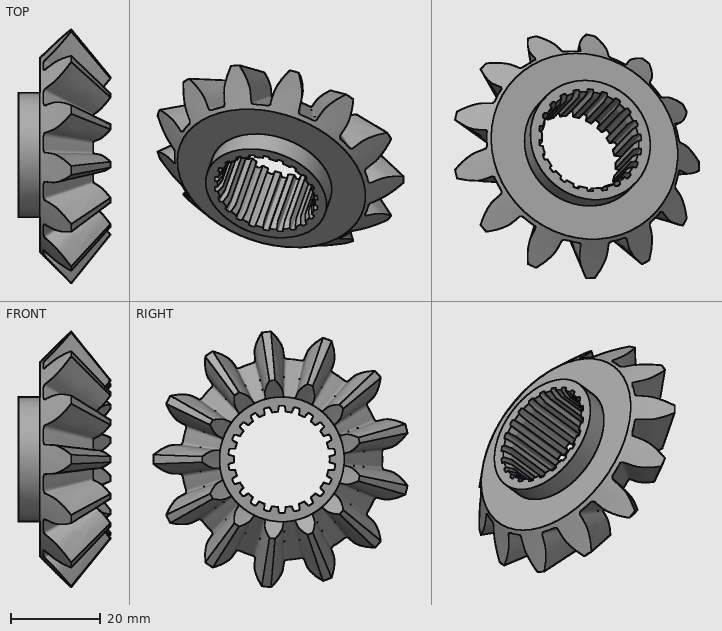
import cadquery as cq
import math

MODULE = 4.0
TEETH = 13
PITCH_CONE_ANGLE = math.radians(45)
PRESSURE_ANGLE = math.radians(21)
ADDENDUM = MODULE
DEDENDUM = 1.2 * MODULE
FACE_WIDTH = 14.0
TOOTH_THICKNESS = 5.8
ROOT_FILLET = 0.8
APEX_X = 35.0

HUB_RADIUS = 14.0
HUB_LENGTH = 4.8

SPLINE_TEETH = 22
SPLINE_MAJOR_RADIUS = 12.0
SPLINE_MINOR_RADIUS = 10.7
SPLINE_SLOT_FLOOR_WIDTH = 1.3
SPLINE_SLOT_MOUTH_WIDTH = 1.65
SPLINE_SLOT_FILLET = 0.25
LEAD_IN_RADIUS = 11.35
LEAD_IN_DEPTH = 2.0

PITCH_RADIUS = MODULE * TEETH / 2
PITCH_X = APEX_X - PITCH_RADIUS / math.tan(PITCH_CONE_ANGLE)
CONE_DISTANCE = PITCH_RADIUS / math.sin(PITCH_CONE_ANGLE)
SMALL_END_SCALE = 1 - FACE_WIDTH / CONE_DISTANCE
HALF_TOOTH_PITCH = math.pi / TEETH

BACK_PITCH_RADIUS = PITCH_RADIUS / math.cos(PITCH_CONE_ANGLE)
BACK_TIP_RADIUS = BACK_PITCH_RADIUS + ADDENDUM
BACK_ROOT_RADIUS = BACK_PITCH_RADIUS - DEDENDUM
BASE_RADIUS = BACK_PITCH_RADIUS * math.cos(PRESSURE_ANGLE)
FLANK_POINTS = 6

GAP_START_X = 0.0
GAP_END_X = 22.0
GAP_OUTER_RADIUS = 60.0


def back_cone_point(height):
    """Axial position and radius on the back cone, `height` above the pitch circle."""
    x = PITCH_X + height * math.sin(PITCH_CONE_ANGLE)
    radius = PITCH_RADIUS + height * math.cos(PITCH_CONE_ANGLE)
    return x, radius


def toward_apex(point):
    """The point's cone ray followed to the small end of the teeth."""
    x, radius = point
    return APEX_X - (APEX_X - x) * SMALL_END_SCALE, radius * SMALL_END_SCALE


def make_blank():
    """Hub and toothless gear body, turned about X."""
    tip = back_cone_point(ADDENDUM)
    small_root = toward_apex(back_cone_point(-DEDENDUM))
    disc_radius = tip[1] - (tip[0] - HUB_LENGTH) / math.tan(PITCH_CONE_ANGLE)
    profile = [
        (0, 0),
        (0, HUB_RADIUS),
        (HUB_LENGTH, HUB_RADIUS),
        (HUB_LENGTH, disc_radius),
        tip,
        toward_apex(tip),
        small_root,
        (small_root[0], 0),
    ]
    return cq.Workplane("XY").polyline(profile).close().revolve(360, (0, 0, 0), (1, 0, 0))


def involute(angle):
    return math.tan(angle) - angle


def half_thickness(back_radius):
    """Half the tooth thickness, as an arc on the developed back cone."""
    base_half_angle = TOOTH_THICKNESS / 2 / BACK_PITCH_RADIUS + involute(PRESSURE_ANGLE)
    flank_angle = math.acos(min(1.0, BASE_RADIUS / back_radius))
    return (base_half_angle - involute(flank_angle)) * back_radius


def flank_point(back_radius, half_arc, plane_x):
    """Flank point carried along its cone ray to a plane: (along, across) the tooth."""
    x, radius = back_cone_point(back_radius - BACK_PITCH_RADIUS)
    angle = half_arc / radius
    plane_radius = radius * (APEX_X - plane_x) / (APEX_X - x)
    return plane_radius * math.cos(angle), plane_radius * math.sin(angle)


def gap_side(point, axis_angle):
    """Turn (along, across) an axis at `axis_angle` into gap coordinates."""
    along, across = point
    return (
        along * math.cos(axis_angle) + across * math.sin(axis_angle),
        along * math.sin(axis_angle) - across * math.cos(axis_angle),
    )


def mirrored(point):
    return point[0], -point[1]


def root_fillet(plane_x, base):
    """Start, middle and end of the arc tangent to the gap floor and the lower flank.

    Below the base circle the flank is a straight line that keeps the thickness it
    has at `base`; the arc is worked out along that line.
    """
    root_x, root_radius = back_cone_point(-DEDENDUM)
    scale = (APEX_X - plane_x) / (APEX_X - root_x)
    floor = root_radius * scale
    fillet = ROOT_FILLET * scale

    foot = flank_point(BACK_ROOT_RADIUS, half_thickness(BASE_RADIUS), plane_x)
    lean = math.atan2(base[1] - foot[1], base[0] - foot[0])
    line_offset = base[1] * math.cos(lean) - base[0] * math.sin(lean)

    centre_angle = math.asin((line_offset + fillet) / (floor + fillet))
    centre_along = (floor + fillet) * math.cos(centre_angle)
    centre_across = line_offset + fillet
    middle_angle = (centre_angle + math.pi / 2) / 2
    start = (floor * math.cos(centre_angle), floor * math.sin(centre_angle))
    middle = (
        centre_along - fillet * math.cos(middle_angle),
        centre_across - fillet * math.sin(middle_angle),
    )
    end = (centre_along, line_offset)
    return [gap_side(point, HALF_TOOTH_PITCH - lean) for point in (start, middle, end)]


def gap_wire(plane_x):
    """Closed outline of the gap on +Y, in the plane at plane_x."""
    step = (BACK_TIP_RADIUS - BASE_RADIUS) / (FLANK_POINTS - 1)
    back_radii = [BASE_RADIUS + i * step for i in range(FLANK_POINTS)]
    tooth_flank = [flank_point(r, half_thickness(r), plane_x) for r in back_radii]
    fillet_start, fillet_middle, fillet_end = root_fillet(plane_x, tooth_flank[0])

    outer_along = GAP_OUTER_RADIUS * (APEX_X - plane_x) / APEX_X
    outer = gap_side((outer_along, tooth_flank[-1][1]), HALF_TOOTH_PITCH)
    flank = [fillet_end] + [gap_side(point, HALF_TOOTH_PITCH) for point in tooth_flank]
    other_flank = [mirrored(point) for point in reversed(flank)]
    floor_middle = (math.hypot(*fillet_start), 0)
    return (
        cq.Workplane("YZ", origin=(plane_x, 0, 0))
        .moveTo(*mirrored(fillet_start))
        .threePointArc(floor_middle, fillet_start)
        .threePointArc(fillet_middle, fillet_end)
        .spline(flank[1:], includeCurrent=True)
        .lineTo(*outer)
        .lineTo(*mirrored(outer))
        .lineTo(*other_flank[0])
        .spline(other_flank[1:], includeCurrent=True)
        .threePointArc(mirrored(fillet_middle), mirrored(fillet_start))
        .close()
        .val()
    )


def make_tooth_gaps():
    """All gaps between the teeth, tapering toward the apex."""
    gap = cq.Solid.makeLoft([gap_wire(GAP_START_X), gap_wire(GAP_END_X)], True)
    pitch_degrees = 360 / TEETH
    axis_start = cq.Vector(0, 0, 0)
    axis_end = cq.Vector(1, 0, 0)
    gaps = [gap.rotate(axis_start, axis_end, i * pitch_degrees) for i in range(TEETH)]
    return cq.Workplane(cq.Compound.makeCompound(gaps))


def make_spline_slot():
    """Slot on +Z with sloping sides; it reaches inward past the minor radius."""
    half_floor = SPLINE_SLOT_FLOOR_WIDTH / 2
    half_mouth = SPLINE_SLOT_MOUTH_WIDTH / 2
    depth = SPLINE_MAJOR_RADIUS - SPLINE_MINOR_RADIUS
    inner_radius = SPLINE_MINOR_RADIUS - depth
    half_inner = 2 * half_mouth - half_floor
    outline = [
        (-half_inner, inner_radius),
        (half_inner, inner_radius),
        (half_floor, SPLINE_MAJOR_RADIUS),
        (-half_floor, SPLINE_MAJOR_RADIUS),
    ]
    slot = cq.Workplane("YZ").polyline(outline).close().extrude(APEX_X)
    return slot.faces(">Z").edges("|X").fillet(SPLINE_SLOT_FILLET)


def make_splined_bore():
    """Round bore, spline slots and the conical lead-in at the hub face."""
    bore = cq.Workplane("YZ").circle(SPLINE_MINOR_RADIUS).extrude(APEX_X)
    slot = make_spline_slot()
    for i in range(SPLINE_TEETH):
        bore = bore.union(slot.rotate((0, 0, 0), (1, 0, 0), i * 360 / SPLINE_TEETH))
    lead_in = cq.Solid.makeCone(
        LEAD_IN_RADIUS,
        SPLINE_MINOR_RADIUS,
        LEAD_IN_DEPTH,
        cq.Vector(0, 0, 0),
        cq.Vector(1, 0, 0),
    )
    return bore.union(cq.Workplane(lead_in))


gear = make_blank().cut(make_tooth_gaps()).cut(make_splined_bore())
result = cq.Workplane(gear.solids().val())